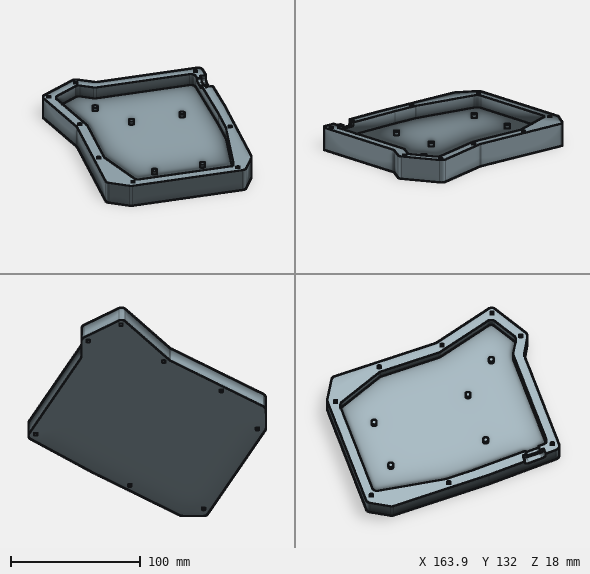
import cadquery as cq

case_height = 18.0
cavity_depth = 9.8
floor_thickness = case_height - cavity_depth
corner_radius = 4.0

left_x = 7.9
right_x = 163.8
top_y = 132.0
bottom_y = 13.8
top_bend_x = 67.5
bottom_bend_x = 68.3
cavity_top_bend_x = 78.5
wall = 7.9
front_wall = 8.4

outer_corners = [
    (left_x, 129.6),
    (top_bend_x, top_y),
    (146.8, top_y),
    (right_x, 122.2),
    (right_x, 30.8),
    (153.7, bottom_y),
    (bottom_bend_x, bottom_y),
    (17.5, -0.7),
    (-0.7, 30.6),
    (left_x, 45.7),
]

cavity_left_x = left_x + wall
cavity_right_x = right_x - wall
cavity_top_y = top_y - wall
cavity_bottom_y = bottom_y + front_wall

cavity_corners = [
    (cavity_left_x, 121.9),
    (cavity_top_bend_x, cavity_top_y),
    (100.0, cavity_top_y),
    (cavity_right_x, 115.4),
    (cavity_right_x, 37.0),
    (117.5, cavity_bottom_y),
    (bottom_bend_x, cavity_bottom_y),
    (21.3, 8.8),
    (8.7, 30.5),
    (cavity_left_x, 42.6),
]

screw_hole_diameter = 2.6
screw_hole_centers = [
    (12.6, 123.9),
    (98.8, 127.8),
    (158.6, 117.6),
    (158.0, 33.9),
    (116.5, 17.9),
    (64.7, 17.0),
    (19.3, 4.6),
    (4.9, 30.1),
]

pin_diameter = 4.1
pin_height = 3.0
pin_centers = [
    (58.8, 100.5),
    (134.8, 95.9),
    (58.8, 60.0),
    (134.8, 57.5),
    (32.0, 38.3),
]

notch_center_x = 28.8
notch_step_y = 125.5
port_width = 11.0
port_depth = 3.0
port_radius = 1.6
port_inner_y = 118.0
plug_corner_diameter = 6.0
plug_radius = plug_corner_diameter / 2
plug_clearance = plug_radius
plug_width = port_width + 2 * plug_clearance
plug_depth = port_depth + plug_clearance


def rounded_prism(corners, base_z, height):
    """Vertical prism on a polygon, with every upright edge rounded."""
    prism = cq.Workplane("XY").workplane(offset=base_z).polyline(corners).close().extrude(height)
    return prism.edges("|Z").fillet(corner_radius)


def cylinders(centers, diameter, base_z, height):
    return cq.Workplane("XY").workplane(offset=base_z).pushPoints(centers).circle(diameter / 2).extrude(height)


def notch_cutter(width, depth, radius, start_y, end_y):
    """Block sunk into the rim, with rounded lower corners along Y."""
    block = cq.Workplane("XY").box(width, end_y - start_y, depth, centered=(True, False, False))
    block = block.edges("|Y and <Z").fillet(radius)
    return block.translate((notch_center_x, start_y, case_height - depth))


case = rounded_prism(outer_corners, 0, case_height)
case = case.cut(rounded_prism(cavity_corners, floor_thickness, cavity_depth))
case = case.cut(cylinders(screw_hole_centers, screw_hole_diameter, 0, case_height))
case = case.union(cylinders(pin_centers, pin_diameter, floor_thickness, pin_height))

case = case.cut(notch_cutter(port_width, port_depth, port_radius, port_inner_y, top_y))
case = case.cut(notch_cutter(plug_width, plug_depth, plug_radius, notch_step_y, top_y))

result = case